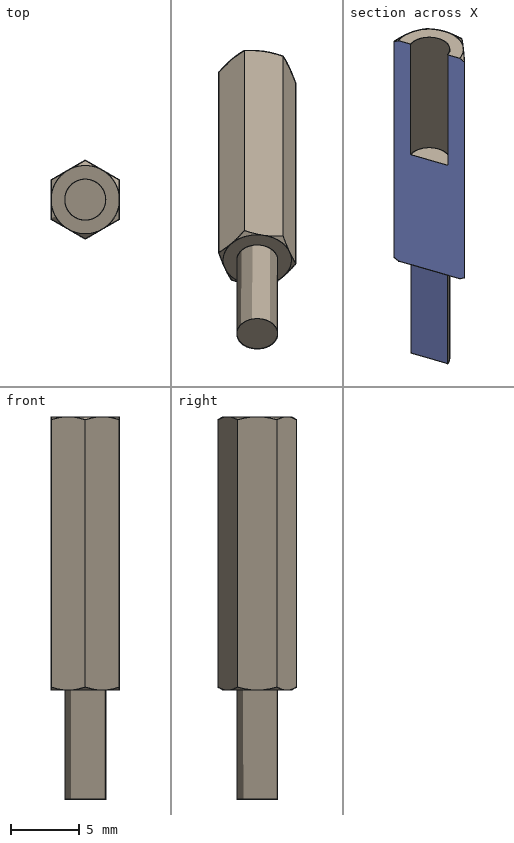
import cadquery as cq
import math

across_flats = 5.0
half_corner_angle = 30.0
across_corners = across_flats / math.cos(math.radians(half_corner_angle))
hex_length = 20.0

bevel_angle = 30.0
bevel_width = (across_corners - across_flats) / 2
bevel_height = bevel_width * math.tan(math.radians(bevel_angle))

thread_diameter = 3.0
hole_depth = hex_length / 2
stud_length = 8.0


def make_hex_body():
    """Hexagon standing on Z = 0 with flats facing X, bevelled ends and a blind hole in the top."""
    prism = (
        cq.Workplane("XY")
        .transformed(rotate=(0, 0, half_corner_angle))
        .polygon(6, across_corners)
        .extrude(hex_length)
    )
    bevelled_round = (
        cq.Workplane("XY")
        .circle(across_corners / 2)
        .extrude(hex_length)
        .faces("<Z or >Z")
        .chamfer(bevel_height, bevel_width)
    )
    hole = (
        cq.Workplane("XY", origin=(0, 0, hex_length - hole_depth))
        .circle(thread_diameter / 2)
        .extrude(hole_depth)
    )
    return prism.intersect(bevelled_round).cut(hole).solids()


def make_stud():
    """Round stud hanging from the lower end face of the hexagon."""
    return cq.Workplane("XY").circle(thread_diameter / 2).extrude(-stud_length)


hex_body = make_hex_body()
stud = make_stud()

result = cq.Compound.makeCompound([hex_body.val(), stud.val()])